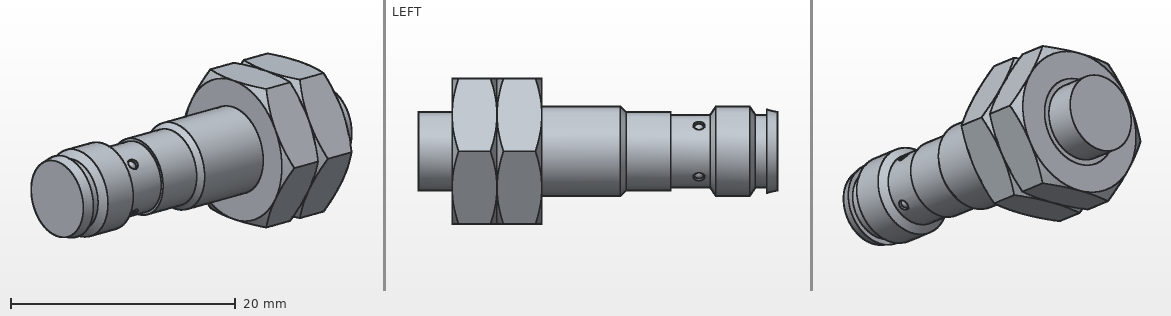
import cadquery as cq
import math

total_length = 32.0

thread_diameter = 8.0
barrel_diameter = 7.0
neck_diameter = 6.5
rim_front_diameter = barrel_diameter
rim_back_diameter = 7.5

rim_length = 1.0
groove_length = 1.0
bevel_length = 0.5
collar_length = 3.0
neck_length = 3.5
barrel_length = 4.0
sensing_tip_length = 3.0

hole_count = 4
hole_diameter = 1.0
hole_first_angle = 45.0
hole_from_collar = 1.0

nut_count = 2
nut_width_across_flats = 13.0
nut_thickness = 4.0
nut_chamfer_angle = 30.0

groove_start = rim_length
collar_front = groove_start + groove_length
collar_back = collar_front + collar_length + 2 * bevel_length
barrel_start = collar_back + neck_length
thread_bevel_start = barrel_start + barrel_length
tip_start = total_length - sensing_tip_length
nut_stack_start = tip_start - nut_count * nut_thickness


def revolve_about_y(outline):
    """Close a (radius, Y) outline and turn it all the way round the Y axis."""
    return outline.close().revolve(360, (0, 0, 0), (0, 1, 0))


def make_turned_body():
    """Stepped round body: rim, groove, bevelled collar, neck, barrel, thread and sensing tip."""
    thread_radius = thread_diameter / 2
    barrel_radius = barrel_diameter / 2
    neck_radius = neck_diameter / 2
    outline = (
        cq.Workplane("XY")
        .moveTo(0, 0)
        .lineTo(rim_front_diameter / 2, 0)
        .lineTo(rim_back_diameter / 2, groove_start)
        .lineTo(neck_radius, groove_start)
        .lineTo(neck_radius, collar_front)
        .lineTo(thread_radius, collar_front + bevel_length)
        .lineTo(thread_radius, collar_back - bevel_length)
        .lineTo(neck_radius, collar_back)
        .lineTo(neck_radius, barrel_start)
        .lineTo(barrel_radius, barrel_start)
        .lineTo(barrel_radius, thread_bevel_start)
        .lineTo(thread_radius, thread_bevel_start + bevel_length)
        .lineTo(thread_radius, tip_start)
        .lineTo(barrel_radius, tip_start)
        .lineTo(barrel_radius, total_length)
        .lineTo(0, total_length)
    )
    return revolve_about_y(outline)


def make_indicator_hole(angle):
    """Ring-shaped cutter for one radial hole whose floor is a hemispherical lens level with the neck."""
    hole_radius = hole_diameter / 2
    lens_top = neck_diameter / 2
    lens_base = lens_top - hole_radius
    hole_y = collar_back + hole_from_collar
    arc_offset = hole_radius * math.sqrt(0.5)
    cutter = (
        cq.Workplane("XY", origin=(0, hole_y, 0))
        .moveTo(lens_top, 0)
        .threePointArc((lens_base + arc_offset, arc_offset), (lens_base, hole_radius))
        .lineTo(thread_diameter / 2, hole_radius)
        .lineTo(thread_diameter / 2, 0)
        .close()
        .revolve(360, (0, 0, 0), (1, 0, 0))
    )
    return cutter.rotate((0, 0, 0), (0, 1, 0), angle)


def make_sensor_body():
    """Turned body with the ring of indicator holes cut into its neck."""
    body = make_turned_body()
    for index in range(hole_count):
        body = body.cut(make_indicator_hole(hole_first_angle + index * 360 / hole_count))
    return body


def make_nut(start):
    """Hexagon nut with two corners on X, both faces chamfered down to the flats."""
    flat_radius = nut_width_across_flats / 2
    corner_radius = flat_radius / math.cos(math.pi / 6)
    chamfer_drop = (corner_radius - flat_radius) * math.tan(math.radians(nut_chamfer_angle))
    end = start + nut_thickness
    hexagon = (
        cq.Workplane("XZ", origin=(0, start, 0))
        .polygon(6, 2 * corner_radius)
        .circle(thread_diameter / 2)
        .extrude(-nut_thickness)
    )
    chamfer_envelope = revolve_about_y(
        cq.Workplane("XY")
        .moveTo(0, start)
        .lineTo(flat_radius, start)
        .lineTo(corner_radius, start + chamfer_drop)
        .lineTo(corner_radius, end - chamfer_drop)
        .lineTo(flat_radius, end)
        .lineTo(0, end)
    )
    return hexagon.intersect(chamfer_envelope)


sensor_body = make_sensor_body()
lock_nuts = [make_nut(nut_stack_start + index * nut_thickness) for index in range(nut_count)]

result = cq.Compound.makeCompound([sensor_body.val(), *[nut.val() for nut in lock_nuts]])